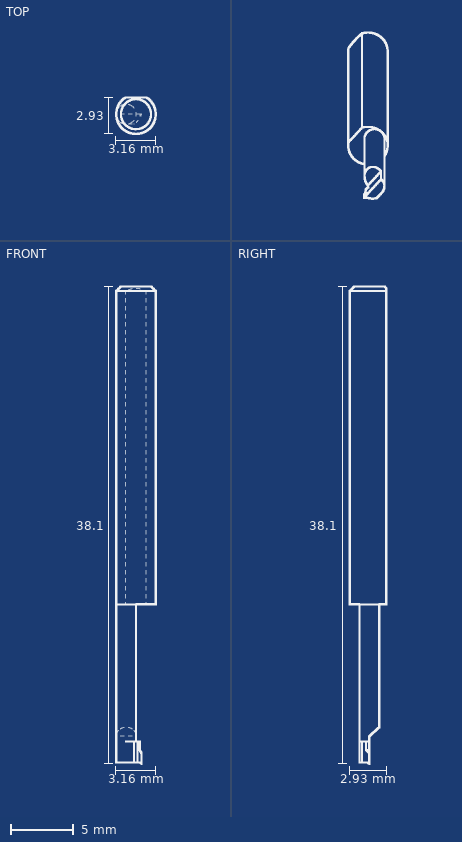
import cadquery as cq

total_length = 38.1
shank_radius = 1.58
shank_bottom = 12.73
flat_offset = 1.353
end_chamfer = 0.4

neck_radius = 0.8
neck_center_x = neck_radius - shank_radius
neck_bottom = 0.1

head_top = 1.8
head_side_x = 0.3
tip_x = 0.45
tip_top = 0.85
tip_flare_top = 1.1
nose_width = 0.1
nose_depth = 0.2
heel_x = -0.15
clearance_x = 0.1
clearance_y = -0.57

relief_start = 2.2
relief_end = 2.95


def make_shank():
    length = total_length - shank_bottom
    bar = cq.Workplane("XY").workplane(offset=shank_bottom).circle(shank_radius).extrude(length)
    bar = bar.faces(">Z").chamfer(end_chamfer)
    keep = cq.Workplane("XY").box(
        2 * shank_radius, shank_radius + flat_offset, total_length, centered=(True, False, False)
    )
    return bar.intersect(keep.translate((0, -shank_radius, 0)))


def make_neck():
    length = shank_bottom - neck_bottom
    bar = cq.Workplane("XY").workplane(offset=neck_bottom).center(neck_center_x, 0)
    bar = bar.circle(neck_radius).extrude(length)
    relief = (
        cq.Workplane("YZ", origin=(-shank_radius, 0, 0))
        .polyline([(0, 0), (0, relief_start), (neck_radius, relief_end), (neck_radius, 0)])
        .close()
        .extrude(2 * neck_radius)
    )
    return bar.cut(relief)


def make_head():
    section = (
        cq.Workplane("XY")
        .moveTo(neck_center_x, 0)
        .lineTo(neck_center_x, -neck_radius)
        .lineTo(heel_x, -neck_radius)
        .lineTo(clearance_x, clearance_y)
        .lineTo(tip_x, 0)
        .close()
        .extrude(head_top)
    )
    outline = (
        cq.Workplane("XZ")
        .moveTo(neck_center_x, neck_bottom)
        .lineTo(neck_center_x, head_top)
        .lineTo(head_side_x, head_top)
        .lineTo(head_side_x, tip_flare_top)
        .lineTo(tip_x, tip_top)
        .lineTo(tip_x, 0)
        .lineTo(tip_x - nose_width, neck_bottom)
        .close()
        .extrude(neck_radius)
    )
    clearance = (
        cq.Workplane("YZ", origin=(neck_center_x, 0, 0))
        .polyline([(0, 0), (-nose_depth, neck_bottom), (-neck_radius, neck_bottom), (-neck_radius, 0)])
        .close()
        .extrude(tip_x - neck_center_x)
    )
    return section.intersect(outline).cut(clearance)


result = make_shank().union(make_neck()).union(make_head())